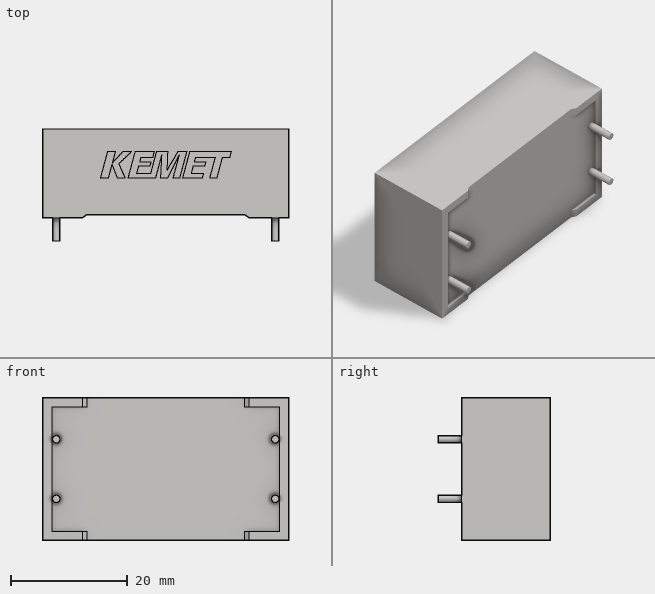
import cadquery as cq
import math

LENGTH = 42.1
HEIGHT = 24.4
BODY_DEPTH = 15.2

FOOT_RISE = 0.5
RIM_WIDTH = 1.55
FOOT_BASE_LENGTH = 7.58
RAMP_LENGTH = 0.8

PIN_DIAMETER = 1.25
PIN_PITCH_X = 37.45
PIN_PITCH_Z = 10.2
PIN_LENGTH = 4.0

INLAY_DEPTH = 0.2
INLAY_LEFT_X = -11.15
INLAY_BASE_Y = -0.75
SLANT_DEGREES = 15.0
CAP_HEIGHT = 4.45
TOP_ARM = 3.5
MIDDLE_ARM_TOP = 2.75
MIDDLE_ARM_BASE = 1.98
BOTTOM_ARM = 0.75
M_CROTCH = 3.9
M_VALLEY = 1.3

FOOT_PLANE = -BODY_DEPTH / 2
FLOOR_PLANE = FOOT_PLANE + FOOT_RISE
PIN_TIP_PLANE = FOOT_PLANE - PIN_LENGTH

K_OUTLINE = [
    (0, 0), (0, CAP_HEIGHT), (1.35, CAP_HEIGHT), (1.35, 2.55), (2.6, CAP_HEIGHT), (4.1, CAP_HEIGHT),
    (2.5, 2.4), (4.2, 0), (2.85, 0), (1.35, 2.3), (1.35, 0),
]
EM_OUTLINE = [
    (4.7, 0), (4.7, CAP_HEIGHT), (8.0, CAP_HEIGHT), (8.0, TOP_ARM), (5.98, TOP_ARM),
    (5.98, MIDDLE_ARM_TOP), (7.9, MIDDLE_ARM_TOP), (7.9, MIDDLE_ARM_BASE), (5.98, MIDDLE_ARM_BASE),
    (5.98, BOTTOM_ARM), (8.38, BOTTOM_ARM),
    (8.38, CAP_HEIGHT), (10.3, CAP_HEIGHT), (11.05, M_VALLEY), (12.05, CAP_HEIGHT), (13.55, CAP_HEIGHT),
    (13.55, 0), (12.4, 0), (12.4, M_CROTCH), (11.5, 0), (10.27, 0), (9.45, M_CROTCH), (9.45, 0),
]
ET_OUTLINE = [
    (14.05, CAP_HEIGHT), (21.18, CAP_HEIGHT), (21.18, TOP_ARM), (19.9, TOP_ARM), (19.9, 0), (18.7, 0),
    (18.7, TOP_ARM),
    (15.32, TOP_ARM), (15.32, MIDDLE_ARM_TOP), (17.3, MIDDLE_ARM_TOP), (17.3, MIDDLE_ARM_BASE),
    (15.32, MIDDLE_ARM_BASE), (15.32, BOTTOM_ARM), (17.45, BOTTOM_ARM), (17.45, 0), (14.05, 0),
]


def make_inlay(outline):
    """Thin plate of a slanted outline, with its outer side flush with the +Z face."""
    slant = math.tan(math.radians(SLANT_DEGREES))
    slanted = [(x + y * slant, y) for x, y in outline]
    base = cq.Workplane("XY", origin=(INLAY_LEFT_X, INLAY_BASE_Y, HEIGHT / 2))
    return base.polyline(slanted).close().extrude(-INLAY_DEPTH)


def cut_foot_gap(block):
    """Lower the pin side between the feet, with a sloping side at each foot."""
    foot_base_x = LENGTH / 2 - FOOT_BASE_LENGTH
    foot_top_x = foot_base_x + RAMP_LENGTH
    gap = (
        cq.Workplane("XY")
        .polyline([
            (-foot_top_x, FOOT_PLANE),
            (-foot_base_x, FLOOR_PLANE),
            (foot_base_x, FLOOR_PLANE),
            (foot_top_x, FOOT_PLANE),
        ])
        .close()
        .extrude(HEIGHT / 2, both=True)
    )
    return block.cut(gap)


def cut_recess(block):
    """Sink the area inside the rim to the floor of the gap."""
    recess = (
        cq.Workplane("XZ", origin=(0, FLOOR_PLANE, 0))
        .rect(LENGTH - 2 * RIM_WIDTH, HEIGHT - 2 * RIM_WIDTH)
        .extrude(FOOT_RISE)
    )
    return block.cut(recess)


def add_pins(block):
    """Round pins that stand on the recess floor and point to -Y."""
    pins = (
        cq.Workplane("XZ", origin=(0, FLOOR_PLANE, 0))
        .rarray(PIN_PITCH_X, PIN_PITCH_Z, 2, 2)
        .circle(PIN_DIAMETER / 2)
        .extrude(FLOOR_PLANE - PIN_TIP_PLANE)
    )
    return block.union(pins)


def make_housing(inlays):
    """Block with feet and pins, and a matching pocket for every inlay."""
    housing = cq.Workplane("XY").box(LENGTH, BODY_DEPTH, HEIGHT)
    housing = cut_foot_gap(housing)
    housing = cut_recess(housing)
    housing = add_pins(housing)
    for inlay in inlays:
        housing = housing.cut(inlay)
    return housing


inlays = [make_inlay(outline) for outline in (K_OUTLINE, EM_OUTLINE, ET_OUTLINE)]
housing = make_housing(inlays)

result = cq.Compound.makeCompound([housing.val(), *[inlay.val() for inlay in inlays]])